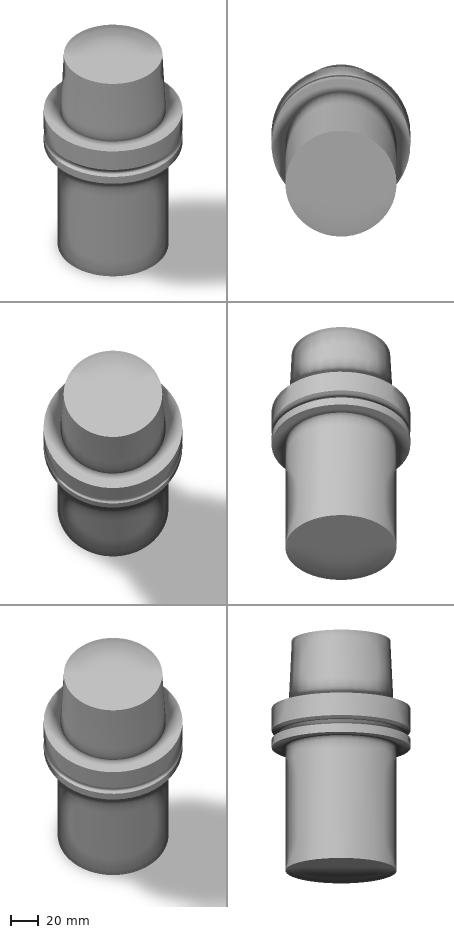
import cadquery as cq

total_height = 170.0
taper_height = 50.0
taper_top_diameter = 71.0
taper_base_diameter = 76.0
flange_diameter = 100.0
flange_height = 29.0
shank_diameter = 80.0

groove_diameter = 90.0
upper_flank_start = 16.7
groove_floor_start = 18.4
groove_floor_end = 22.1
lower_flank_end = 23.0
upper_flank_width = 3.7
lower_flank_width = 2.0

taper_top_radius = taper_top_diameter / 2
taper_base_radius = taper_base_diameter / 2
flange_radius = flange_diameter / 2
groove_radius = groove_diameter / 2
shank_radius = shank_diameter / 2
shank_bottom = taper_height - total_height

half_section = [
    (0, taper_height),
    (taper_top_radius, taper_height),
    (taper_base_radius, 0),
    (flange_radius, 0),
    (flange_radius, -upper_flank_start),
    (flange_radius - upper_flank_width, -groove_floor_start),
    (groove_radius, -groove_floor_start),
    (groove_radius, -groove_floor_end),
    (flange_radius - lower_flank_width, -groove_floor_end),
    (flange_radius, -lower_flank_end),
    (flange_radius, -flange_height),
    (shank_radius, -flange_height),
    (shank_radius, shank_bottom),
    (0, shank_bottom),
]

result = cq.Workplane("XZ").polyline(half_section).close().revolve(360, (0, 0), (0, 1))